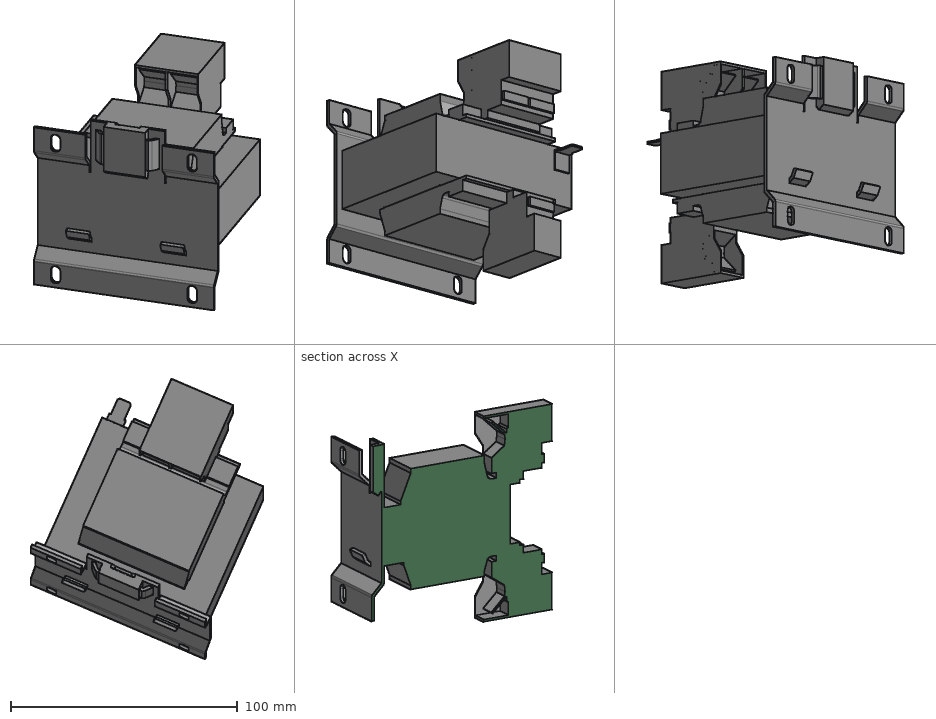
import cadquery as cq


CORE_WIDTH = 77.7
CORE_BACK = 6.8
CORE_FRONT = 71.5
CORE_HALF_HEIGHT = 13.6
YOKE_JOINT = 58.5
WINDOW_BACK = 19.7
WINDOW_CLEARANCE = 0.3

COIL_WIDTH = 51.0
COIL_BACK = 20.2
COIL_FRONT = 58.2
NECK_Y = 60.2
NECK_HEIGHT = 18.0
NECK_FILLET = 2.3
LEDGE_BACK = 64.2
LEDGE_FRONT = 73.9
LEDGE_HEIGHT = 20.3
LIP_FRONT = 76.35
LIP_HEIGHT = 15.1

TERMINAL_TOP = 47.6
TERMINAL_FRONT = 92.9
HEAD_BOTTOM = 30.3
BODY_FRONT = 87.7
BODY_BOTTOM = 18.8
FOOT_FRONT = 78.3
TERMINAL_SPAN = 14.85
DIVIDER_EDGE = 0.3
SIDE_WALL = 0.6
DIVIDER_HALF = 0.6
TERMINAL_ROOF = 1.2
WIRE_MOUTH_Y = 61.7
HOOD_Y = 57.6
CAVITY_Y = 70.4
FUNNEL_EDGE = 27.7
MARKER_DEPTH = 1.2
MARKER_BOTTOM = 21.0
MARKER_TOP = 25.1

BRACKET_WIDTH = 84.0
PLATE_FACE = 5.1
SHEET = CORE_BACK - PLATE_FACE
LUG_END = 38.1
BEND_FACE = 21.1
BEND_SHIFT = 0.7
BEND_RADIUS = 1.6
HOLE_X = 31.9
HOLE_Z = 31.9
HOLE_WIDTH = 4.5
HOLE_LENGTH = 8.3
TONGUE_HALF_WIDTH = 17.2
TONGUE_TOP = 42.8
RELIEF_WIDTH = 0.7
RELIEF_BOTTOM = 17.8
NOTCH_HALF_WIDTH = 5.7
NOTCH_DEPTH = 1.7

LATCH_HALF_WIDTH = 9.7
LATCH_FACE = 0.8
WING_SPAN = 14.85
WING_BOTTOM = 24.2
WING_TOP = 38.8

HOOK_OUTER_X = 27.4
HOOK_INNER_X = 16.7
HOOK_CORNER = 0.6

TAB_X = -32.8
TAB_THICKNESS = 0.9
TAB_TOP = 11.6
TAB_BOTTOM = 2.5
TAB_TIP = 82.9
TAB_SHOULDER = 74.8
TAB_BASE_WIDTH = 8.0
TAB_BLADE_WIDTH = 6.5
TAB_CHAMFER = 0.9


def box(x0, x1, y0, y1, z0, z1):
    """Axis-aligned box between the given limits."""
    return cq.Workplane("XY").box(x1 - x0, y1 - y0, z1 - z0, centered=False).translate((x0, y0, z0))


def side_prism(points, x0, x1):
    """Extrude a (Y, Z) outline from x0 to x1."""
    return cq.Workplane("YZ").workplane(offset=x0).polyline(points).close().extrude(x1 - x0)


def flip(body):
    """Mirror a body from above the core to below it."""
    return body.mirror("XY")


def core():
    half = CORE_WIDTH / 2
    body = box(-half, half, CORE_BACK, CORE_FRONT, -CORE_HALF_HEIGHT, CORE_HALF_HEIGHT)
    for gap_x in (-COIL_WIDTH / 2 - WINDOW_CLEARANCE, COIL_WIDTH / 2):
        body = body.cut(box(gap_x, gap_x + WINDOW_CLEARANCE, WINDOW_BACK, YOKE_JOINT,
                            -CORE_HALF_HEIGHT, CORE_HALF_HEIGHT))
    return body


def coil_former(flange_y, flange_height, top, back_shoulder, front_shoulder):
    """Half of the coil former above the core, with sloping ends and a ledge for the terminals."""
    outline = [
        (flange_y, CORE_HALF_HEIGHT),
        (flange_y, flange_height),
        (COIL_BACK, back_shoulder),
        (COIL_BACK, top),
        (COIL_FRONT, top),
        (COIL_FRONT, front_shoulder),
        (NECK_Y, NECK_HEIGHT),
        (LEDGE_BACK, NECK_HEIGHT),
        (LEDGE_BACK, LEDGE_HEIGHT),
        (LEDGE_FRONT, LEDGE_HEIGHT),
        (LEDGE_FRONT, LIP_HEIGHT),
        (LIP_FRONT, LIP_HEIGHT),
        (LIP_FRONT, CORE_HALF_HEIGHT),
    ]
    body = side_prism(outline, -COIL_WIDTH / 2, COIL_WIDTH / 2)
    neck_corner = cq.selectors.NearestToPointSelector((0, NECK_Y, NECK_HEIGHT))
    return body.edges(neck_corner).fillet(NECK_FILLET)


def terminal_block(x0, x1, wall0, wall1):
    """Terminal block above the core, with a spring leaf in its wire entry."""
    body = side_prism([
        (TERMINAL_FRONT, TERMINAL_TOP), (HOOD_Y, TERMINAL_TOP), (HOOD_Y, 37.7),
        (WIRE_MOUTH_Y, 31.3), (WIRE_MOUTH_Y, LEDGE_HEIGHT), (LEDGE_FRONT, LEDGE_HEIGHT),
        (LEDGE_FRONT, LIP_HEIGHT), (FOOT_FRONT, LIP_HEIGHT), (FOOT_FRONT, BODY_BOTTOM),
        (BODY_FRONT, BODY_BOTTOM), (BODY_FRONT, HEAD_BOTTOM), (TERMINAL_FRONT, HEAD_BOTTOM),
    ], x0, x1)
    leaf_root = [(69.5, 35.9), (68.6, 35.2)]
    roof = TERMINAL_TOP - TERMINAL_ROOF
    wire_entry = side_prism([
        (HOOD_Y, roof), (CAVITY_Y, roof), (CAVITY_Y, 40.5), (69.5, 39.8),
        *leaf_root, (68.3, 32.3), (WIRE_MOUTH_Y, FUNNEL_EDGE), (HOOD_Y, FUNNEL_EDGE),
    ], x0 + wall0, x1 - wall1)
    leaf = side_prism([
        *leaf_root, (68.45, 37.3), (61.6, 43.8), (62.45, 44.5), (69.5, 37.9),
    ], x0, x1)
    marker = box(x0 + wall0, x1 - wall1, BODY_FRONT, BODY_FRONT + MARKER_DEPTH, MARKER_BOTTOM, MARKER_TOP)
    return body.cut(wire_entry).union(leaf).union(marker)


def earth_tab():
    half_base = TAB_BASE_WIDTH / 2
    half_blade = TAB_BLADE_WIDTH / 2
    underside = TAB_TOP - TAB_THICKNESS
    foot_front = CORE_FRONT + TAB_THICKNESS
    foot = box(TAB_X - half_base, TAB_X + half_base, CORE_FRONT, foot_front, TAB_BOTTOM, TAB_TOP)
    base = box(TAB_X - half_base, TAB_X + half_base, CORE_FRONT, TAB_SHOULDER, underside, TAB_TOP)
    blade = box(TAB_X - half_blade, TAB_X + half_blade, CORE_FRONT, TAB_TIP, underside, TAB_TOP)
    blade = blade.edges("|Z and >Y").chamfer(TAB_CHAMFER)
    return foot.union(base).union(blade)


def bracket():
    """Bent sheet with four slotted lugs and a straight tongue in its upper edge."""
    half = BRACKET_WIDTH / 2
    face_end = BEND_FACE + PLATE_FACE
    upper = [(0, face_end), (0, LUG_END), (SHEET, LUG_END),
             (SHEET, face_end + BEND_SHIFT), (CORE_BACK, BEND_FACE + BEND_SHIFT)]
    lower = [(y, -z) for y, z in reversed(upper)]
    sheet = side_prism([(PLATE_FACE, BEND_FACE)] + upper + lower + [(PLATE_FACE, -BEND_FACE)], -half, half)
    for side in (-1, 1):
        for bend_y, bend_z in ((0, face_end), (CORE_BACK, BEND_FACE + BEND_SHIFT)):
            bend = cq.selectors.NearestToPointSelector((0, bend_y, side * bend_z))
            sheet = sheet.edges(bend).fillet(BEND_RADIUS)

    opening = TONGUE_HALF_WIDTH + RELIEF_WIDTH
    sheet = sheet.cut(box(-opening, opening, 0, CORE_BACK, RELIEF_BOTTOM, LUG_END))
    tongue = box(-TONGUE_HALF_WIDTH, TONGUE_HALF_WIDTH, PLATE_FACE, CORE_BACK, RELIEF_BOTTOM, TONGUE_TOP)

    notch_floor = NOTCH_HALF_WIDTH - NOTCH_DEPTH
    notch = (
        cq.Workplane("XZ")
        .workplane(offset=-CORE_BACK)
        .polyline([(-NOTCH_HALF_WIDTH, TONGUE_TOP), (-notch_floor, TONGUE_TOP - NOTCH_DEPTH),
                   (notch_floor, TONGUE_TOP - NOTCH_DEPTH), (NOTCH_HALF_WIDTH, TONGUE_TOP)])
        .close()
        .extrude(SHEET)
    )

    holes = (
        cq.Workplane("XZ")
        .rect(2 * HOLE_X, 2 * HOLE_Z, forConstruction=True)
        .vertices()
        .slot2D(HOLE_LENGTH, HOLE_WIDTH, 90)
        .extrude(-SHEET)
    )
    return sheet.union(tongue.cut(notch)).cut(holes)


def latch():
    """Rail latch: a thick cap with a sheet-metal wing on either side."""
    cap = side_prism([
        (PLATE_FACE, TONGUE_TOP), (LATCH_FACE, TONGUE_TOP), (LATCH_FACE, 21.4),
        (3.6, 19.4), (PLATE_FACE, 21.0),
    ], -LATCH_HALF_WIDTH, LATCH_HALF_WIDTH)
    wing = (
        cq.Workplane("XY")
        .workplane(offset=WING_BOTTOM)
        .polyline([(-WING_SPAN, PLATE_FACE), (-12.2, 2.3), (-10.95, 1.5), (-LATCH_HALF_WIDTH, 1.5),
                   (-LATCH_HALF_WIDTH, 3.1), (-10.95, 3.1), (-12.8, PLATE_FACE)])
        .close()
        .extrude(WING_TOP - WING_BOTTOM)
    )
    return cap.union(wing).union(wing.mirror("YZ"))


def rail_hook():
    """Bent lance on the left half of the plate, open upwards."""
    tip_outer = (0.8, -10.2)
    tip_inner = (2.3, -9.5)
    hook = side_prism([
        (PLATE_FACE, -15.9), (2.5, -13.9), tip_outer, tip_inner,
        (3.9, -12.9), (PLATE_FACE, -14.0),
    ], -HOOK_OUTER_X, -HOOK_INNER_X)
    tip_y = (tip_outer[0] + tip_inner[0]) / 2
    tip_z = (tip_outer[1] + tip_inner[1]) / 2
    tip = cq.selectors.NearestToPointSelector((-(HOOK_OUTER_X + HOOK_INNER_X) / 2, tip_y, tip_z))
    return hook.faces(tip).edges("not |X").fillet(HOOK_CORNER)


transformer = core()
upper_former = coil_former(
    flange_y=14.9, flange_height=15.1, top=29.4, back_shoulder=27.3, front_shoulder=26.2)
lower_former = coil_former(
    flange_y=16.6, flange_height=14.8, top=26.7, back_shoulder=24.7, front_shoulder=24.3)
transformer = transformer.union(upper_former).union(flip(lower_former))

left_terminal = terminal_block(-TERMINAL_SPAN, DIVIDER_EDGE, SIDE_WALL, DIVIDER_HALF + DIVIDER_EDGE)
right_terminal = terminal_block(DIVIDER_EDGE, TERMINAL_SPAN, DIVIDER_HALF - DIVIDER_EDGE, SIDE_WALL)
for terminal in (left_terminal, right_terminal, flip(left_terminal)):
    transformer = transformer.union(terminal)

hook = rail_hook()
for part in (earth_tab(), bracket(), latch(), hook, hook.mirror("YZ")):
    transformer = transformer.union(part)

result = transformer